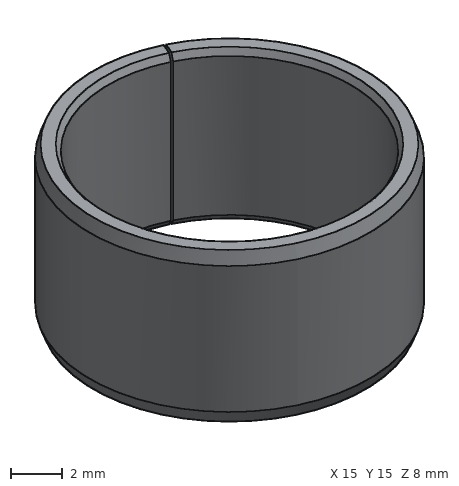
import cadquery as cq
import math

outer_diameter = 15.0
bore_diameter = 13.0
height = 8.0

outer_bevel_height = 0.6
outer_bevel_angle = 20.0
outer_bevel_depth = outer_bevel_height * math.tan(math.radians(outer_bevel_angle))

bore_bevel_depth = 0.2
bore_bevel_height = 0.3

slit_width = 0.1

outer_radius = outer_diameter / 2
bore_radius = bore_diameter / 2
half_height = height / 2


def make_ring():
    """Revolve the bevelled wall section around Z."""
    upper_points = [
        (bore_radius, half_height - bore_bevel_height),
        (bore_radius + bore_bevel_depth, half_height),
        (outer_radius - outer_bevel_depth, half_height),
        (outer_radius, half_height - outer_bevel_height),
    ]
    lower_points = [(radius, -z) for radius, z in reversed(upper_points)]
    section = cq.Workplane("XZ").polyline(upper_points + lower_points).close()
    return section.revolve(360, (0, 0), (0, 1))


def make_slit():
    """Full-height cutter from the axis out through the -X wall."""
    slit = cq.Workplane("XY").box(outer_radius, slit_width, height)
    return slit.translate((-outer_radius / 2, slit_width / 2, 0))


result = make_ring().cut(make_slit())